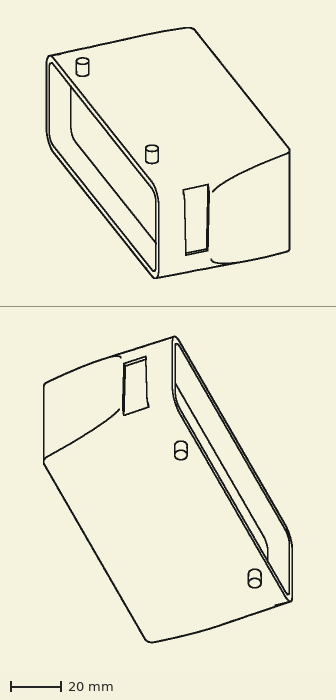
import cadquery as cq

length = 120.0
depth = 60.0
front_height = 43.7
rear_height = 45.6
corner_radius = 7.5
front_y = -depth / 2
rear_y = depth / 2

slope_start = 22.5
rear_length = 106.1
rear_edge_radius = 3.4

wall = 3.0
cavity_depth = 9.4
cavity_radius = corner_radius - wall

pin_diameter = 5.0
pin_spacing = 73.9
pin_setback = 6.4
pin_span = 55.0

recess_depth = 1.5
recess_end_z = 10.5
recess_setback = 11.6
recess_narrow_width = 9.5
recess_flare = 0.7


def rounded_prism(width, height, radius, start_y, run):
    """Rounded rectangle in XZ, extruded towards +Y."""
    plane = cq.Workplane("XZ", origin=(0, start_y, 0))
    return plane.rect(width, height).extrude(-run).edges("|Y").fillet(radius)


def make_shell():
    """Housing with a constant length and a height that grows towards the rear."""
    front = cq.Sketch().rect(length, front_height).vertices().fillet(corner_radius)
    rear = cq.Sketch().rect(length, rear_height).vertices().fillet(corner_radius)
    front_plane = cq.Workplane("XZ", origin=(0, front_y, 0))
    return front_plane.placeSketch(front, rear.moved(cq.Location(cq.Vector(0, 0, -depth)))).loft()


def make_plan():
    """Plan outline with straight front ends and sloped rear ends."""
    slope_y = front_y + slope_start
    half_front = length / 2
    half_rear = rear_length / 2
    points = [
        (-half_front, front_y),
        (half_front, front_y),
        (half_front, slope_y),
        (half_rear, rear_y),
        (-half_rear, rear_y),
        (-half_front, slope_y),
    ]
    plan = cq.Workplane("XY").polyline(points).close().extrude(rear_height / 2, both=True)
    return plan.edges("|Z and >Y").fillet(rear_edge_radius)


def make_pins():
    """Two pins through the full height, later cleared from the cavity."""
    pin_y = front_y + pin_setback
    centres = [(-pin_spacing / 2, pin_y), (pin_spacing / 2, pin_y)]
    return cq.Workplane("XY").pushPoints(centres).circle(pin_diameter / 2).extrude(pin_span / 2, both=True)


def make_recess():
    """Flared cutter for the left end, open downwards."""
    near_y = front_y + recess_setback
    far_y = near_y + recess_narrow_width
    bottom_z = -rear_height / 2
    points = [
        (near_y, recess_end_z),
        (far_y, recess_end_z),
        (far_y + recess_flare, bottom_z),
        (near_y - recess_flare, bottom_z),
    ]
    plane = cq.Workplane("YZ", origin=(-length / 2, 0, 0))
    return plane.polyline(points).close().extrude(recess_depth)


cavity = rounded_prism(length - 2 * wall, front_height - 2 * wall, cavity_radius, front_y, cavity_depth)
result = make_shell().intersect(make_plan()).union(make_pins()).cut(cavity)

for turn in (0, 180):
    result = result.cut(make_recess().rotate((0, 0, 0), (0, 1, 0), turn))